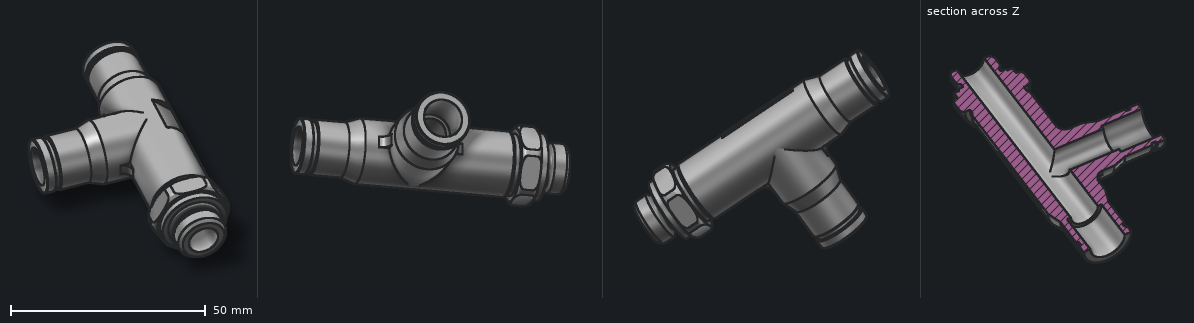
import cadquery as cq
import math


arm_length = 30.6
body_radius = 8.5
tube_radius = 7.2
groove_radius = 6.55
ring_length = 2.55
groove_width = 1.2
tube_end = 12.0
cone_length = 3.9
edge_chamfer = 0.2

bore_radius = 4.0
socket_radius = 5.05
socket_depth = tube_end

body_end = 24.75
body_chamfer = 0.65
neck_radius = 8.0
hex_start = 26.65
hex_width = 5.3
flange_radius = 8.75
flange_width = 1.9
seal_radius = 7.2
seal_round = 0.65
undercut_radius = 5.6
thread_end = 40.5
thread_diameter = 13.15
thread_start = 36.25
thread_runout = 0.6
undercut_blend_width = 0.4
undercut_blend_height = 0.18
thread_chamfer = 1.1
thread_tip_radius = 5.7

hex_across_flats = 19.0
hex_corner_diameter = 21.0
hex_turn = 30.0
hex_round_width = 1.5
hex_face_radius = 9.45

web_thickness = 2.9
web_fillet = 2.55

flat_length = 10.95
flat_distance = 7.6
flat_tilt = 45.0


def revolve_about_x(outline):
    """Turn a closed half outline (X, radius) around the X axis."""
    return outline.close().revolve(360, (0, 0, 0), (1, 0, 0))


def arm():
    """Push-in arm with its mouth at X = -arm_length and its body reaching the origin."""
    mouth = -arm_length
    ring_end = mouth + ring_length
    groove_end = ring_end + groove_width
    cone_start = mouth + tube_end
    return revolve_about_x(
        cq.Workplane("XY")
        .moveTo(mouth, 0)
        .lineTo(mouth, tube_radius - edge_chamfer)
        .lineTo(mouth + edge_chamfer, tube_radius)
        .lineTo(ring_end - edge_chamfer, tube_radius)
        .lineTo(ring_end, tube_radius - edge_chamfer)
        .lineTo(ring_end, groove_radius)
        .lineTo(groove_end, groove_radius)
        .lineTo(groove_end, tube_radius - edge_chamfer)
        .lineTo(groove_end + edge_chamfer, tube_radius)
        .lineTo(cone_start, tube_radius)
        .lineTo(cone_start + cone_length, body_radius)
        .lineTo(0, body_radius)
        .lineTo(0, 0)
    )


def arm_bore():
    """Socket for the tube followed by the flow bore, up to the origin."""
    bore = cq.Workplane("YZ").circle(bore_radius).extrude(-arm_length)
    socket = (
        cq.Workplane("YZ", origin=(-arm_length, 0, 0))
        .circle(socket_radius)
        .extrude(socket_depth)
    )
    return bore.union(socket)


def as_branch(solid):
    """Swing a solid from the -X arm onto the -Y branch."""
    return solid.rotate((0, 0, 0), (0, 0, 1), 90)


def male_end():
    """Run body from the origin to the threaded end, without the hexagon."""
    hex_end = hex_start + hex_width
    flange_end = hex_end + flange_width
    seal_end = flange_end + seal_round
    seal_middle = seal_round * math.sqrt(0.5)
    seal_root = seal_radius - seal_round
    runout_start = thread_start - thread_runout
    thread_radius = thread_diameter / 2
    return revolve_about_x(
        cq.Workplane("XY")
        .lineTo(0, body_radius)
        .lineTo(body_end, body_radius)
        .lineTo(body_end + body_chamfer, neck_radius)
        .lineTo(hex_end, neck_radius)
        .lineTo(hex_end, flange_radius)
        .lineTo(flange_end, flange_radius)
        .lineTo(flange_end, seal_radius)
        .threePointArc((flange_end + seal_middle, seal_root + seal_middle), (seal_end, seal_root))
        .lineTo(seal_end, undercut_radius)
        .lineTo(runout_start - undercut_blend_width, undercut_radius)
        .tangentArcPoint((undercut_blend_width, undercut_blend_height))
        .lineTo(thread_start, thread_radius)
        .lineTo(thread_end - thread_chamfer, thread_radius)
        .lineTo(thread_end, thread_tip_radius)
        .lineTo(thread_end, 0)
    )


def hexagon():
    """Hexagon with flats facing +Z and -Z, its corners turned round towards both faces."""
    hex_middle = hex_start + hex_width / 2
    hex_end = hex_start + hex_width
    prism = (
        cq.Workplane("YZ", origin=(hex_start, 0, 0))
        .polygon(6, hex_across_flats, circumscribed=True)
        .extrude(hex_width)
        .rotate((0, 0, 0), (1, 0, 0), hex_turn)
    )
    turned_half = revolve_about_x(
        cq.Workplane("XY")
        .moveTo(hex_middle, 0)
        .lineTo(hex_middle, hex_corner_diameter / 2)
        .lineTo(hex_end - hex_round_width, hex_corner_diameter / 2)
        .tangentArcPoint((hex_end, hex_face_radius), relative=False)
        .lineTo(hex_end, 0)
    )
    turned = turned_half.union(turned_half.mirror("YZ", (hex_middle, 0, 0)))
    return prism.intersect(turned)


def web():
    """Flat web across the run, with a concave round into each side of the branch."""
    reach = body_radius + web_fillet
    inset = web_fillet * (1 - math.sqrt(0.5))
    return (
        cq.Workplane("XY", origin=(0, 0, -web_thickness / 2))
        .moveTo(-reach, body_radius)
        .lineTo(reach, body_radius)
        .lineTo(reach, -body_radius)
        .threePointArc((body_radius + inset, -body_radius - inset), (body_radius, -reach))
        .lineTo(-body_radius, -reach)
        .threePointArc((-body_radius - inset, -body_radius - inset), (-reach, -body_radius))
        .close()
        .extrude(web_thickness)
    )


def label_flat_cutter():
    """Block whose lower face is the inclined flat."""
    return (
        cq.Workplane("XY", origin=(0, 0, flat_distance))
        .rect(flat_length, 2 * body_radius)
        .extrude(body_radius)
        .rotate((0, 0, 0), (1, 0, 0), -flat_tilt)
    )


flow_bore = cq.Workplane("YZ").circle(bore_radius).extrude(thread_end)

result = (
    arm()
    .union(male_end())
    .union(as_branch(arm()))
    .union(hexagon())
    .union(web())
    .cut(label_flat_cutter())
    .cut(arm_bore())
    .cut(as_branch(arm_bore()))
    .cut(flow_bore)
)